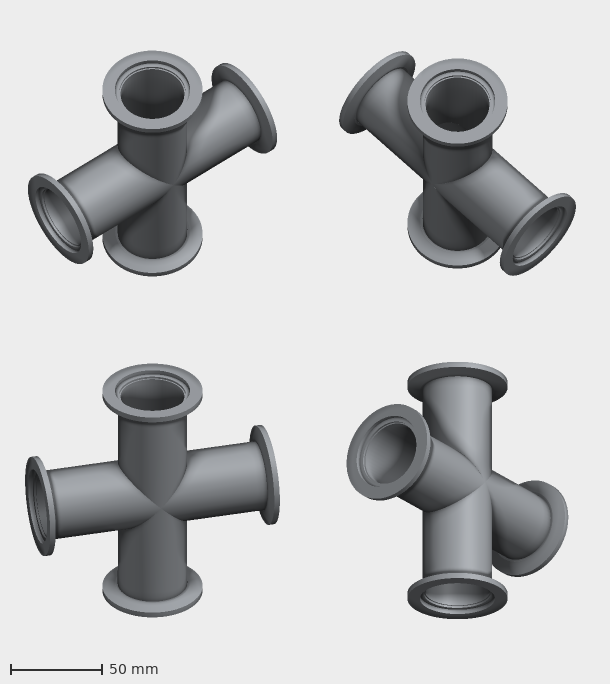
import cadquery as cq

span = 130.0
face_distance = span / 2
arm_angles = (0, 90, 180, 270)

tube_od = 38.1
tube_id = 35.0

flange_od = 55.0
neck_od = 40.8
flange_thickness = 5.0
rim_thickness = 3.1
recess_diameter = 41.2
recess_depth = 2.6
lip_bore = 36.4
lip_thickness = 1.2
socket_diameter = 38.4

tube_end = face_distance - recess_depth - lip_thickness


def make_flange():
    """Flange of the +Z arm, revolved about Z; the tube end sits against its lip."""
    back = face_distance - flange_thickness
    rim_back = face_distance - rim_thickness
    recess_floor = face_distance - recess_depth
    return (
        cq.Workplane("XZ")
        .moveTo(socket_diameter / 2, back)
        .lineTo(neck_od / 2, back)
        .lineTo(flange_od / 2, rim_back)
        .lineTo(flange_od / 2, face_distance)
        .lineTo(recess_diameter / 2, face_distance)
        .lineTo(recess_diameter / 2, recess_floor)
        .lineTo(lip_bore / 2, recess_floor)
        .lineTo(lip_bore / 2, tube_end)
        .lineTo(socket_diameter / 2, tube_end)
        .close()
        .revolve(360, (0, 0, 0), (0, 1, 0))
    )


def make_tube():
    """Tube of the +Z arm, mitred at 45 degrees to both sides at the centre."""
    pipe = cq.Workplane("XY").circle(tube_od / 2).circle(tube_id / 2).extrude(tube_end)
    mitre_wedge = (
        cq.Workplane("YZ")
        .polyline([(0, 0), (tube_end, tube_end), (-tube_end, tube_end)])
        .close()
        .extrude(tube_od, both=True)
    )
    return pipe.intersect(mitre_wedge)


def place_on_arm(body, angle):
    """Turn a body of the +Z arm about X onto another arm."""
    return body.rotate((0, 0, 0), (1, 0, 0), angle)


tubes = []
flanges = []
for arm_angle in arm_angles:
    tubes.append(place_on_arm(make_tube(), arm_angle))
    flanges.append(place_on_arm(make_flange(), arm_angle))

result = cq.Compound.makeCompound(
    [solid for body in tubes + flanges for solid in body.vals()]
)